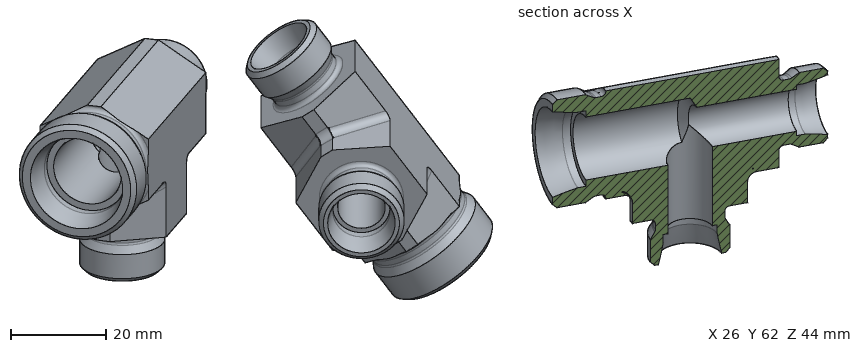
import cadquery as cq
import math


ACROSS_FLATS = 24.0
LARGE_THREAD_DIAMETER = 26.0
ACROSS_CORNERS = LARGE_THREAD_DIAMETER
RUN_FILLET = 2.0

END_DISTANCE = 31.0
END_CHAMFER = 1.0
NECK_FILLET = 1.0
RUNOUT_ANGLE = 30.0
SEAT_HALF_ANGLE = 12.0

SMALL_BAR_END = 20.0
SMALL_THREAD_DIAMETER = 18.0
SMALL_THREAD_LENGTH = 6.45
SMALL_NECK_DIAMETER = 15.75
SMALL_TUBE_DIAMETER = 12.0
SMALL_SEAT_DIAMETER = 14.2
SMALL_TUBE_DEPTH = 7.0

LARGE_BAR_END = 19.05
LARGE_THREAD_LENGTH = 7.45
LARGE_NECK_DIAMETER = 23.7
LARGE_TUBE_DIAMETER = 18.0
LARGE_SEAT_DIAMETER = 20.4
LARGE_TUBE_DEPTH = 7.5

TOLERANCE = 0.005

BORE_DIAMETER = 10.0
LARGE_BORE_DIAMETER = 15.0
BORE_STEP_HALF_ANGLE = 59.0


def tan_deg(angle):
    return math.tan(math.radians(angle))


def hex_bar(start, end):
    """Bar along Z with two flats facing +-X and its +-Y corners cut flat."""
    length = end - start
    corner_diameter = ACROSS_FLATS / math.cos(math.radians(30))
    hexagon = (
        cq.Workplane("XY", origin=(0, 0, start))
        .polygon(6, corner_diameter)
        .extrude(length)
        .rotate((0, 0, 0), (0, 0, 1), 30)
    )
    trim = cq.Workplane("XY", origin=(0, 0, start)).rect(2 * ACROSS_FLATS, ACROSS_CORNERS).extrude(length)
    return hexagon.intersect(trim)


def spin(profile):
    """Revolve a closed radius-height profile about Z."""
    return profile.close().revolve(360, (0, 0, 0), (0, 1, 0))


def connection_outside(bar_end, thread_diameter, thread_length, neck_diameter):
    """Neck and thread standing on the end of a bar that points to +Z."""
    neck_radius = neck_diameter / 2
    thread_radius = thread_diameter / 2
    neck_start = bar_end + NECK_FILLET
    thread_start = END_DISTANCE - thread_length

    flare = spin(
        cq.Workplane("XZ")
        .moveTo(0, bar_end)
        .lineTo(neck_radius + NECK_FILLET, bar_end)
        .radiusArc((neck_radius, neck_start), NECK_FILLET)
        .lineTo(0, neck_start)
    ).intersect(hex_bar(bar_end, neck_start))

    runout_start = thread_start - (thread_radius - neck_radius) / tan_deg(RUNOUT_ANGLE)
    blend = NECK_FILLET * tan_deg(RUNOUT_ANGLE / 2)
    blend_end = (
        neck_radius + blend * math.sin(math.radians(RUNOUT_ANGLE)),
        runout_start + blend * math.cos(math.radians(RUNOUT_ANGLE)),
    )
    thread = spin(
        cq.Workplane("XZ")
        .moveTo(0, neck_start)
        .lineTo(neck_radius, neck_start)
        .lineTo(neck_radius, runout_start - blend)
        .tangentArcPoint(blend_end, relative=False)
        .lineTo(thread_radius, thread_start)
        .lineTo(thread_radius, END_DISTANCE - END_CHAMFER)
        .lineTo(thread_radius - END_CHAMFER, END_DISTANCE)
        .lineTo(0, END_DISTANCE)
    )
    return flare.union(thread)


def tube_socket(seat_diameter, tube_diameter, tube_depth):
    """Conical seat and tube stop cut into a connection that points to +Z."""
    seat_depth = (seat_diameter - tube_diameter) / 2 / tan_deg(SEAT_HALF_ANGLE)
    return spin(
        cq.Workplane("XZ")
        .moveTo(0, END_DISTANCE)
        .lineTo(seat_diameter / 2, END_DISTANCE)
        .lineTo(tube_diameter / 2, END_DISTANCE - seat_depth)
        .lineTo(tube_diameter / 2, END_DISTANCE - tube_depth)
        .lineTo(0, END_DISTANCE - tube_depth)
    )


def branch_bore():
    """Bore along Z from the origin to a connection face at +Z."""
    return cq.Workplane("XY").circle(BORE_DIAMETER / 2).extrude(END_DISTANCE)


def run_bore():
    """Bore through the run, wide from the +Z end to the origin and narrow beyond it."""
    step_length = (LARGE_BORE_DIAMETER - BORE_DIAMETER) / 2 / tan_deg(BORE_STEP_HALF_ANGLE)
    return spin(
        cq.Workplane("XZ")
        .moveTo(0, END_DISTANCE)
        .lineTo(LARGE_BORE_DIAMETER / 2, END_DISTANCE)
        .lineTo(LARGE_BORE_DIAMETER / 2, 0)
        .lineTo(BORE_DIAMETER / 2, -step_length)
        .lineTo(BORE_DIAMETER / 2, -END_DISTANCE)
        .lineTo(0, -END_DISTANCE)
    )


def turn(shape, angle):
    """Turn a shape about the X axis."""
    return shape.rotate((0, 0, 0), (1, 0, 0), angle)


TO_REAR = -90
TO_FRONT = 90
TO_BRANCH = 180

run_bar = turn(hex_bar(-LARGE_BAR_END, SMALL_BAR_END), TO_REAR)
branch_bar = turn(hex_bar(0, SMALL_BAR_END), TO_BRANCH)
bars = run_bar.union(branch_bar)


def on_meeting_line(edge):
    """True for edges where the two bars meet, which lie in the planes Z = -|Y|."""
    return all(abs(abs(corner.Y) + corner.Z) < TOLERANCE for corner in edge.Vertices())


meeting_edges = [edge for edge in bars.edges().vals() if on_meeting_line(edge)]
body = bars.newObject(meeting_edges).fillet(RUN_FILLET)

small_outside = connection_outside(
    SMALL_BAR_END, SMALL_THREAD_DIAMETER, SMALL_THREAD_LENGTH, SMALL_NECK_DIAMETER
)
large_outside = connection_outside(
    LARGE_BAR_END, LARGE_THREAD_DIAMETER, LARGE_THREAD_LENGTH, LARGE_NECK_DIAMETER
)
body = body.union(turn(large_outside, TO_FRONT))
for angle in (TO_REAR, TO_BRANCH):
    body = body.union(turn(small_outside, angle))

small_socket = tube_socket(SMALL_SEAT_DIAMETER, SMALL_TUBE_DIAMETER, SMALL_TUBE_DEPTH)
large_socket = tube_socket(LARGE_SEAT_DIAMETER, LARGE_TUBE_DIAMETER, LARGE_TUBE_DEPTH)
body = body.cut(turn(run_bore(), TO_FRONT))
body = body.cut(turn(branch_bore(), TO_BRANCH))
body = body.cut(turn(large_socket, TO_FRONT))
for angle in (TO_REAR, TO_BRANCH):
    body = body.cut(turn(small_socket, angle))

result = body